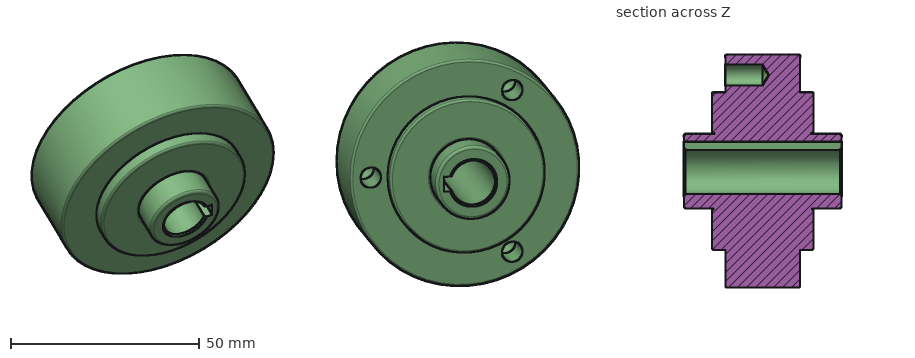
import cadquery as cq
import math

rim_diameter = 62.0
rim_width = 20.0
flange_diameter = 42.0
flange_width = 27.05
hub_diameter = 20.0
hub_length = 42.0

body_edge_radius = 0.6
hub_edge_radius = 0.8

bore_diameter = 12.0
bore_chamfer = 0.5
keyway_width = 4.0
keyway_reach = 7.8

bolt_circle_diameter = 51.0
bolt_hole_diameter = 5.5
bolt_hole_depth = 9.9
bolt_hole_count = 3
drill_point_angle = 118.0


def disc(diameter, width):
    """Cylinder along X, centred on the origin."""
    return cq.Workplane("YZ", origin=(-width / 2, 0, 0)).circle(diameter / 2).extrude(width)


def revolve_about_x(profile):
    """Full turn of a profile drawn in the XY plane (x axial, y radial)."""
    return profile.revolve(360, (0, 0, 0), (1, 0, 0))


def body():
    """Rim and flange with rounded edges on both sides, joined to the hub."""
    rim = disc(rim_diameter, rim_width).edges("%CIRCLE").fillet(body_edge_radius)
    flange = (
        disc(flange_diameter, flange_width)
        .cut(disc(hub_diameter, flange_width))
        .edges("%CIRCLE")
        .fillet(body_edge_radius)
    )
    hub = disc(hub_diameter, hub_length).edges("%CIRCLE").fillet(hub_edge_radius)
    return rim.union(flange).union(hub)


def keyed_bore():
    """Through bore chamfered at both ends, with a keyway towards +Y."""
    bore_radius = bore_diameter / 2
    hub_end = hub_length / 2
    mouth_radius = bore_radius + bore_chamfer
    bore = revolve_about_x(
        cq.Workplane("XY").polyline([
            (-hub_end, 0),
            (-hub_end, mouth_radius),
            (-hub_end + bore_chamfer, bore_radius),
            (hub_end - bore_chamfer, bore_radius),
            (hub_end, mouth_radius),
            (hub_end, 0),
        ]).close()
    )
    keyway = cq.Workplane("XY").box(
        hub_length, keyway_reach, keyway_width, centered=(True, False, True)
    )
    return bore.union(keyway)


def bolt_holes():
    """Blind drilled holes in the -X face of the rim, the first one towards +Y."""
    hole_radius = bolt_hole_diameter / 2
    face_x = -rim_width / 2
    shoulder_x = face_x + bolt_hole_depth
    tip_x = shoulder_x + hole_radius / math.tan(math.radians(drill_point_angle / 2))
    drill = revolve_about_x(
        cq.Workplane("XY").polyline([
            (face_x, 0),
            (face_x, hole_radius),
            (shoulder_x, hole_radius),
            (tip_x, 0),
        ]).close()
    ).translate((0, bolt_circle_diameter / 2, 0))
    holes = cq.Workplane("XY")
    for index in range(bolt_hole_count):
        angle = index * 360 / bolt_hole_count
        holes = holes.add(drill.rotate((0, 0, 0), (1, 0, 0), angle))
    return holes.combine()


result = body().cut(keyed_bore()).cut(bolt_holes())